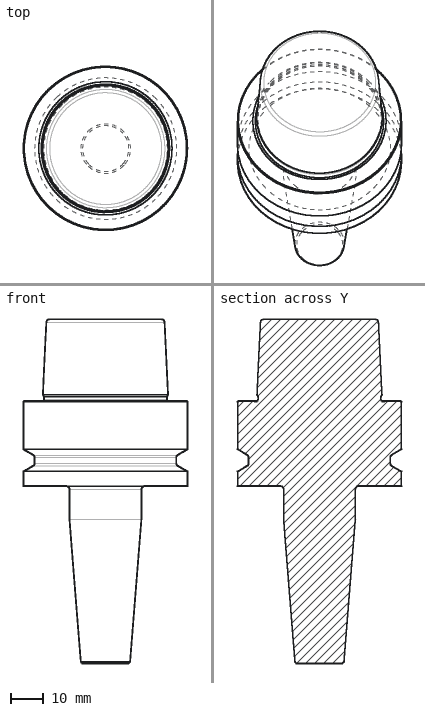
import cadquery as cq
import math


shank_length = 24.85
shank_base_radius = 19.1
shank_base_height = 1.85
shank_tip_radius = 18.0
shank_tip_fillet = 1.0

neck_radius = 18.8
neck_top_height = 1.25
neck_fillet = 0.75

flange_radius = 25.0
flange_thickness = 26.0
flange_edge_chamfer = 0.3
groove_floor_radius = 21.6
groove_top_depth = 14.8
groove_bottom_depth = 21.5
groove_flank_angle = 30.0
groove_corner_fillet = 0.8

recess_radius = 20.3
recess_floor_radius = neck_radius + neck_fillet
recess_depth = 0.25

nose_length = 54.0
nose_radius = 11.0
nose_straight_length = 10.0
nose_tip_radius = 7.5
nose_tip_chamfer = 0.5
nose_root_fillet = 1.0

flange_bottom = -flange_thickness
nose_bottom = flange_bottom - nose_length
fillet_mid = 1 - math.sqrt(0.5)


def revolve_about_z(profile):
    """Close a half profile drawn in the XZ plane and turn it about the Z axis."""
    return profile.close().revolve(360, (0, 0, 0), (0, 1, 0))


def root_fillet(profile, radius, base_height, fillet, direction):
    """Add a flat base and a concave fillet onto a cylinder; direction is +1 upward, -1 downward."""
    return (
        profile
        .lineTo(radius + fillet, base_height)
        .threePointArc(
            (radius + fillet * fillet_mid, base_height + direction * fillet * fillet_mid),
            (radius, base_height + direction * fillet),
        )
    )


def make_shank():
    """Tapered shank with a rounded top edge, standing on the relief neck."""
    base = cq.Workplane("XZ").moveTo(0, -recess_depth)
    profile = (
        root_fillet(base, neck_radius, -recess_depth, neck_fillet, 1)
        .lineTo(neck_radius, neck_top_height)
        .lineTo(shank_base_radius, shank_base_height)
        .lineTo(shank_tip_radius, shank_length)
        .lineTo(0, shank_length)
    )
    return revolve_about_z(profile).faces(">Z").edges().fillet(shank_tip_fillet)


def make_recess():
    """Cutter for the recess in the flange face."""
    profile = (
        cq.Workplane("XZ")
        .lineTo(recess_radius, 0)
        .lineTo(recess_floor_radius, -recess_depth)
        .lineTo(0, -recess_depth)
    )
    return revolve_about_z(profile)


def make_groove():
    """Cutter for the flared rim groove with rounded floor corners."""
    flank_slope = math.tan(math.radians(groove_flank_angle))
    flank_height = (flange_radius - groove_floor_radius) * flank_slope
    profile = (
        cq.Workplane("XZ")
        .moveTo(flange_radius, -groove_top_depth)
        .lineTo(groove_floor_radius, -groove_top_depth - flank_height)
        .lineTo(groove_floor_radius, -groove_bottom_depth + flank_height)
        .lineTo(flange_radius, -groove_bottom_depth)
    )
    floor_corners = cq.selectors.RadiusNthSelector(0)
    return revolve_about_z(profile).edges(floor_corners).fillet(groove_corner_fillet)


def make_flange():
    """Flange disc with a chamfered top edge, the face recess and the rim groove."""
    flange = cq.Workplane("XY").circle(flange_radius).extrude(flange_bottom)
    flange = flange.faces(">Z").edges().chamfer(flange_edge_chamfer)
    return flange.cut(make_recess()).cut(make_groove())


def make_nose():
    """Nose with a filleted root, a straight length and a taper to the chamfered tip."""
    base = cq.Workplane("XZ").moveTo(0, flange_bottom)
    profile = (
        root_fillet(base, nose_radius, flange_bottom, nose_root_fillet, -1)
        .lineTo(nose_radius, flange_bottom - nose_straight_length)
        .lineTo(nose_tip_radius, nose_bottom)
        .lineTo(0, nose_bottom)
    )
    return revolve_about_z(profile).faces("<Z").edges().chamfer(nose_tip_chamfer)


result = make_flange().union(make_shank()).union(make_nose())